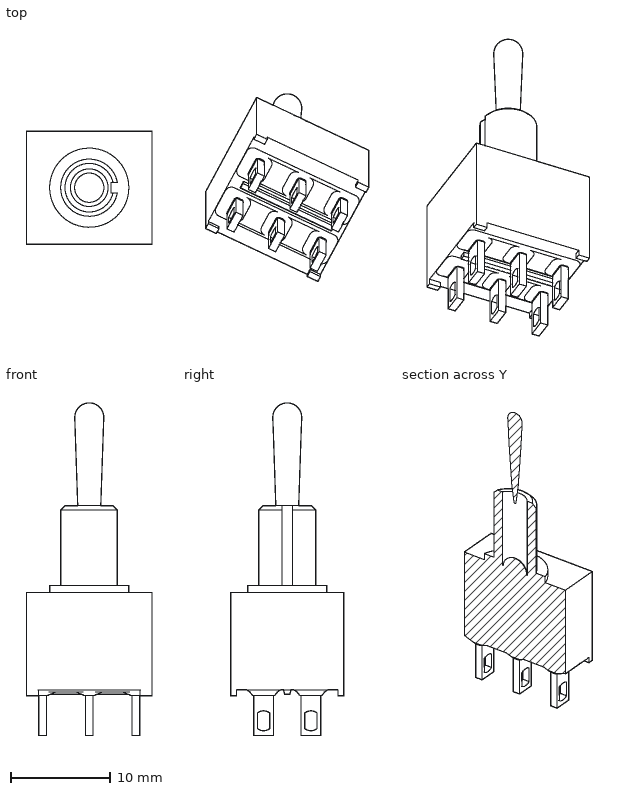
import cadquery as cq

total_height = 33.6

housing_length = 12.7
housing_width = 11.42
housing_bottom = 4.0
housing_top = 14.45
foot_length = 1.2
foot_width = 0.6
foot_height = 0.6
underside = housing_bottom + foot_height

washer_diameter = 8.0
washer_top = 15.15
bushing_diameter = 5.78
bushing_top = 23.2
bushing_chamfer = 0.45
bore_diameter = 3.8
keyway_width = 1.05
keyway_inner_x = 2.2

tip_radius = 1.48
mouth_radius = 1.18
tip_center = total_height - tip_radius
bore_floor = housing_top
lever_taper = (tip_radius - mouth_radius) / (tip_center - bushing_top)
lever_foot_radius = mouth_radius - lever_taper * (bushing_top - bore_floor)

terminal_pitch_x = 4.7
terminal_pitch_y = 4.77
terminal_thickness = 0.8
terminal_width = 2.0
eyelet_width = 1.2
eyelet_height = 1.98
eyelet_arc_rise = 0.2
eyelet_bottom = 0.5

strip_depth = 0.2
seal_depth = 0.57
strip_slope_run = 0.3
mound_base_length = 2.62
mound_base_width = 2.82
mound_tip_length = 1.0
mound_tip_width = 2.22
seal_base_corner = 0.67
seal_tip_corner = 0.35

rib_length = housing_length - 2 * foot_length
rib_base_width = 0.75
rib_tip_width = 0.57
rib_depth = 0.45

terminal_columns = [-terminal_pitch_x, 0, terminal_pitch_x]
terminal_rows = [-terminal_pitch_y / 2, terminal_pitch_y / 2]


def cylinder(diameter, bottom, top):
    """Upright cylinder on the lever axis."""
    return cq.Workplane("XY").workplane(offset=bottom).circle(diameter / 2).extrude(top - bottom)


def rounded_rectangle(length, width, corner):
    return cq.Sketch().rect(length, width).vertices().fillet(corner)


def tapered_block(upper, lower, top, depth):
    """Block hanging down from `top`, lofted from the upper to the lower outline."""
    return (
        cq.Workplane("XY")
        .placeSketch(
            upper.moved(cq.Location(cq.Vector(0, 0, top))),
            lower.moved(cq.Location(cq.Vector(0, 0, top - depth))),
        )
        .loft()
    )


def make_housing():
    block = (
        cq.Workplane("XY")
        .workplane(offset=underside)
        .rect(housing_length, housing_width)
        .extrude(housing_top - underside)
    )
    feet = (
        cq.Workplane("XY")
        .workplane(offset=housing_bottom)
        .rect(housing_length - foot_length, housing_width - foot_width, forConstruction=True)
        .vertices()
        .rect(foot_length, foot_width)
        .extrude(foot_height)
    )
    return block.union(feet)


def make_bushing():
    washer = cylinder(washer_diameter, housing_top, washer_top)
    sleeve = cylinder(bushing_diameter, housing_top, bushing_top)
    sleeve = sleeve.faces(">Z").edges().chamfer(bushing_chamfer)
    keyway = cq.Workplane("XY").box(
        bushing_diameter, keyway_width, bushing_top - washer_top, centered=(False, True, False)
    )
    keyway = keyway.translate((keyway_inner_x, 0, washer_top))
    bore = cylinder(bore_diameter, bore_floor, bushing_top)
    return washer.union(sleeve.cut(keyway)).cut(bore)


def make_lever():
    """Tapered lever with a round tip, rising from a half ball on the bore floor."""
    shaft = (
        cq.Workplane("XZ")
        .moveTo(0, bore_floor)
        .lineTo(lever_foot_radius, bore_floor)
        .lineTo(tip_radius, tip_center)
        .radiusArc((0, total_height), -tip_radius)
        .close()
        .revolve(360, (0, 0, 0), (0, 1, 0))
    )
    ball_radius = bore_diameter / 2
    pivot = (
        cq.Workplane("XZ")
        .moveTo(0, bore_floor)
        .lineTo(ball_radius, bore_floor)
        .radiusArc((0, bore_floor + ball_radius), -ball_radius)
        .close()
        .revolve(360, (0, 0, 0), (0, 1, 0))
    )
    return shaft.union(pivot)


def make_terminal():
    """Flat blade standing across X, pierced by an eyelet with arched ends."""
    blade = cq.Workplane("XY").rect(terminal_thickness, terminal_width).extrude(underside)
    half_width = eyelet_width / 2
    eyelet_top = eyelet_bottom + eyelet_height
    lower_corner = eyelet_bottom + eyelet_arc_rise
    upper_corner = eyelet_top - eyelet_arc_rise
    eyelet = (
        cq.Workplane("YZ")
        .moveTo(-half_width, lower_corner)
        .threePointArc((0, eyelet_bottom), (half_width, lower_corner))
        .lineTo(half_width, upper_corner)
        .threePointArc((0, eyelet_top), (-half_width, upper_corner))
        .close()
        .extrude(terminal_thickness, both=True)
    )
    return blade.cut(eyelet)


def make_seal_strip():
    tip_length = 2 * terminal_pitch_x + mound_base_length
    tip_width = mound_base_width
    base = rounded_rectangle(
        tip_length + 2 * strip_slope_run, tip_width + 2 * strip_slope_run, seal_base_corner
    )
    tip = rounded_rectangle(tip_length, tip_width, seal_base_corner)
    return tapered_block(base, tip, underside, strip_depth)


def make_seal_mound():
    base = rounded_rectangle(mound_base_length, mound_base_width, seal_base_corner)
    tip = rounded_rectangle(mound_tip_length, mound_tip_width, seal_tip_corner)
    return tapered_block(base, tip, underside - strip_depth, seal_depth - strip_depth)


def make_rib():
    base = cq.Sketch().rect(rib_length, rib_base_width)
    tip = cq.Sketch().rect(rib_length, rib_tip_width)
    return tapered_block(base, tip, underside, rib_depth)


result = make_housing().union(make_bushing()).union(make_lever()).union(make_rib())
terminal = make_terminal()
seal_strip = make_seal_strip()
seal_mound = make_seal_mound()
for row in terminal_rows:
    result = result.union(seal_strip.translate((0, row, 0)))
    for column in terminal_columns:
        result = result.union(seal_mound.translate((column, row, 0)))
        result = result.union(terminal.translate((column, row, 0)))